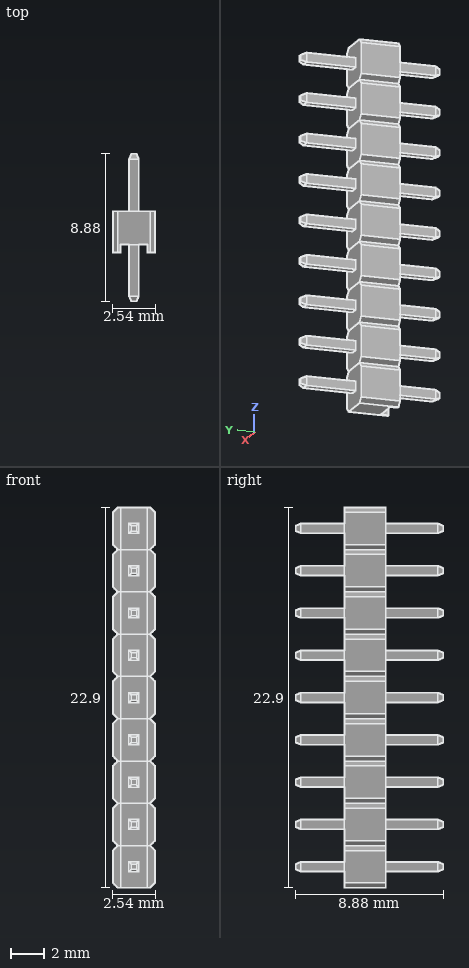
import cadquery as cq

SEGMENT_COUNT = 9
ROW_LENGTH = 22.85
PITCH = ROW_LENGTH / SEGMENT_COUNT

BLOCK_WIDTH = 2.54
BLOCK_DEPTH = 2.5
CORNER_CHAMFER = 0.3
CHANNEL_WIDTH = 1.6
CHANNEL_DEPTH = 0.48

PIN_SIDE = 0.6
FRONT_REACH = 2.93
BACK_REACH = 3.45
TIP_LENGTH = 0.32
TIP_INSET = 0.14

FRONT_FACE_Y = -BLOCK_DEPTH / 2
BACK_FACE_Y = BLOCK_DEPTH / 2
PIN_FRONT_Y = FRONT_FACE_Y - FRONT_REACH
PIN_BACK_Y = BACK_FACE_Y + BACK_REACH


def make_block():
    """Housing block with chamfered corners and a channel along Z in its -Y face."""
    block = (
        cq.Workplane("XY")
        .box(BLOCK_WIDTH, BLOCK_DEPTH, PITCH)
        .edges("|Y")
        .chamfer(CORNER_CHAMFER)
    )
    channel = (
        cq.Workplane("XY")
        .box(CHANNEL_WIDTH, CHANNEL_DEPTH, PITCH, centered=(True, False, True))
        .translate((0, FRONT_FACE_Y, 0))
    )
    return block.cut(channel)


def pin_section(y, side):
    """Square wire of the given side, centred on the pin axis at the given Y."""
    return cq.Workplane("XZ", origin=(0, y, 0)).rect(side, side).val()


def make_pin():
    """Square pin with a blunt pyramid tip at each end."""
    tip_side = PIN_SIDE - 2 * TIP_INSET
    front_shoulder_y = PIN_FRONT_Y + TIP_LENGTH
    back_shoulder_y = PIN_BACK_Y - TIP_LENGTH
    shaft_length = back_shoulder_y - front_shoulder_y
    pin = (
        cq.Workplane("XY")
        .box(PIN_SIDE, shaft_length, PIN_SIDE, centered=(True, False, True))
        .translate((0, front_shoulder_y, 0))
    )
    for shoulder_y, end_y in ((front_shoulder_y, PIN_FRONT_Y), (back_shoulder_y, PIN_BACK_Y)):
        sections = [pin_section(shoulder_y, PIN_SIDE), pin_section(end_y, tip_side)]
        pin = pin.union(cq.Workplane(cq.Solid.makeLoft(sections, True)))
    return pin


def make_segment(z):
    """One header segment, block and pin in one solid, centred at height z."""
    return make_block().union(make_pin()).translate((0, 0, z))


first_z = -(ROW_LENGTH - PITCH) / 2
segments = [make_segment(first_z + i * PITCH) for i in range(SEGMENT_COUNT)]

result = cq.Compound.makeCompound([segment.solids().val() for segment in segments])